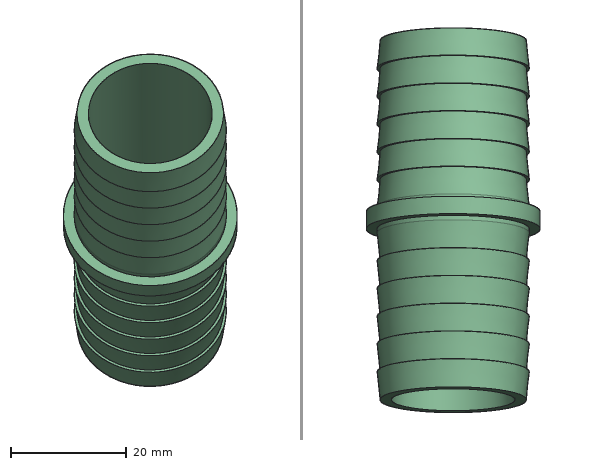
import cadquery as cq

INCH = 25.4

total_length = 2.49 * INCH
flange_diameter = 1.1875 * INCH
flange_thickness = 0.12 * INCH
collar_length = 0.03 * INCH
barb_crest_diameter = 1.04 * INCH
barb_root_diameter = 1.0 * INCH
bore_diameter = 0.84375 * INCH
barbs_per_end = 6

half_length = total_length / 2
flange_face = flange_thickness / 2
collar_end = flange_face + collar_length
barb_pitch = (half_length - collar_end) / barbs_per_end
flange_radius = flange_diameter / 2
crest_radius = barb_crest_diameter / 2
root_radius = barb_root_diameter / 2
bore_radius = bore_diameter / 2


def upper_outline():
    """(radius, height) points of the upper half, from the flange rim up to the bore at the tip."""
    points = [(flange_radius, flange_face), (crest_radius, flange_face)]
    for barb in range(barbs_per_end):
        barb_base = collar_end + barb * barb_pitch
        points.append((crest_radius, barb_base))
        points.append((root_radius, barb_base + barb_pitch))
    points.append((bore_radius, half_length))
    return points


def make_coupling():
    """Central flange with mirrored barbed hose ends and a through bore, turned about Z."""
    upper = upper_outline()
    lower = [(radius, -height) for radius, height in reversed(upper)]
    profile = cq.Workplane("XZ").polyline(upper + lower).close()
    return profile.revolve(360, (0, 0), (0, 1))


result = make_coupling()